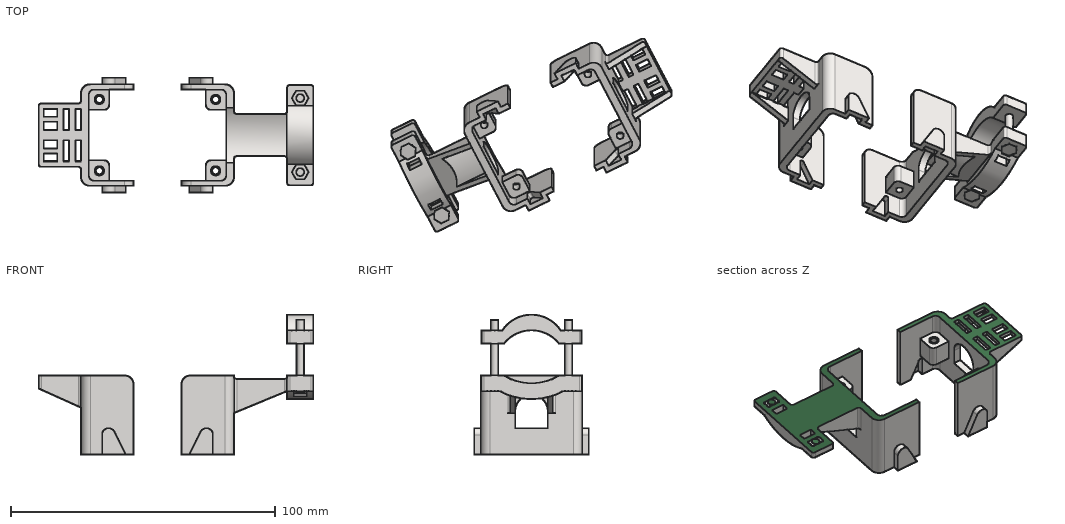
import cadquery as cq
import math

SHELL_MOUTH_X = 9.0
SHELL_BACK_X = 29.0
SHELL_HALF_WIDTH = 19.25
SHELL_HEIGHT = 30.0
SIDE_WALL = 2.0
BACK_WALL = 3.0
SHELL_OUTER_RADIUS = 3.5
SHELL_INNER_RADIUS = 2.0
MOUTH_TOP_RADIUS = 3.5

WINDOW_WIDTH = 12.2
WINDOW_SILL_Z = 10.0
WINDOW_TOP_Z = 22.6

POST_SIZE = 7.75
POST_BOTTOM_Z = 10.0
POST_TOP_Z = 18.5
POST_RADIUS = 2.0
POST_HOLE_X = 22.0
POST_HOLE_Y = 13.5
POST_HOLE_DIAMETER = 2.6
POST_COUNTERBORE_DIAMETER = 3.6
POST_COUNTERBORE_DEPTH = 0.25

LUG_THICKNESS = 2.5
LUG_RADIUS = 2.5
LUG_CENTER_X = 18.5
LUG_CENTER_Z = 7.5
LUG_TOE_X = 12.0
LUG_HOLLOW_INSET = 1.75
LUG_HOLLOW_DEPTH = 2.5

PLATE_END_X = 45.0
PLATE_HALF_WIDTH = 12.0
PLATE_THICKNESS = 5.0
PLATE_RIB = 2.3
PLATE_RIB_ROOT_Z = 17.8
EDGE_RADIUS = 1.0
PLATE_SLOT_NEAR_Y = 2.0
PLATE_SLOT_LENGTH = 8.0
PLATE_SLOT_WIDTH = 2.0
PLATE_SLOT_XS = (30.0, 34.5)
PLATE_WINDOW_X = 40.5
PLATE_WINDOW_SIZE = (5.0, 3.0)
PLATE_WINDOW_YS = (3.5, 8.5)

CLAMP_START_X = 49.0
CLAMP_LENGTH = 10.0
CLAMP_HALF_WIDTH = 19.0
CLAMP_EAR_BOTTOM_Z = 24.0
SADDLE_HALF_CHORD = 10.4
SADDLE_DEPTH = 3.0
SADDLE_THICKNESS = 6.0
NECK_HALF_WIDTH = 8.0
NECK_RIB = 1.9
NECK_ROOT_Z = 15.75
TIE_SLOT_LENGTH = 5.0
TIE_SLOT_NEAR_Y = 7.6
TIE_SLOT_WIDTH = 2.5

STRAP_BOTTOM_Z = 42.0
STRAP_EAR_HEIGHT = 5.0
STRAP_INNER_HALF_CHORD = 10.4
STRAP_OUTER_HALF_CHORD = 11.1
STRAP_CROWN = 6.0

BOLT_Y = 14.0
BOLT_DIAMETER = 3.0
BOLT_TOP_Z = 51.0
BOLT_SLOT_LENGTH = 5.0
HEX_ACROSS_FLATS = 5.5
HEX_HEIGHT = 2.5

CLAMP_CENTER_X = CLAMP_START_X + CLAMP_LENGTH / 2
INNER_BACK_X = SHELL_BACK_X - BACK_WALL
INNER_HALF_WIDTH = SHELL_HALF_WIDTH - SIDE_WALL
STRAP_EAR_TOP_Z = STRAP_BOTTOM_Z + STRAP_EAR_HEIGHT
SADDLE_RADIUS = (SADDLE_HALF_CHORD**2 + SADDLE_DEPTH**2) / (2 * SADDLE_DEPTH)
SADDLE_AXIS_Z = SHELL_HEIGHT - SADDLE_DEPTH + SADDLE_RADIUS
SADDLE_OUTER_RADIUS = SADDLE_RADIUS + SADDLE_THICKNESS
HEX_ACROSS_CORNERS = HEX_ACROSS_FLATS / math.cos(math.radians(30))
SIDES = (-1, 1)


def block(x0, x1, y0, y1, z0, z1):
    """Box between two corners."""
    size_x, size_y, size_z = x1 - x0, y1 - y0, z1 - z0
    return cq.Workplane("XY").box(size_x, size_y, size_z, centered=False).translate((x0, y0, z0))


def cylinder_along_x(radius, axis_z, x0, x1):
    """Cylinder along X, with its axis at y = 0."""
    return cq.Workplane("YZ", origin=(x0, 0, axis_z)).circle(radius).extrude(x1 - x0)


def hex_prism(y, z0):
    """Hexagon the size of a bolt head, with two corners pointing along X."""
    plane = cq.Workplane("XY", origin=(CLAMP_CENTER_X, y, z0))
    return plane.polygon(6, HEX_ACROSS_CORNERS).extrude(HEX_HEIGHT)


def bolt_shank(y, z0, z1):
    """Round shank of a bolt."""
    plane = cq.Workplane("XY", origin=(CLAMP_CENTER_X, y, z0))
    return plane.circle(BOLT_DIAMETER / 2).extrude(z1 - z0)


def u_wall():
    """Back wall and two side walls, rounded at the upright corners and at the top of the mouth."""
    outer = block(SHELL_MOUTH_X, SHELL_BACK_X, -SHELL_HALF_WIDTH, SHELL_HALF_WIDTH, 0, SHELL_HEIGHT)
    outer = outer.edges("|Z and >X").fillet(SHELL_OUTER_RADIUS)
    outer = outer.edges("|Y and <X and >Z").fillet(MOUTH_TOP_RADIUS)
    inner = block(0, INNER_BACK_X, -INNER_HALF_WIDTH, INNER_HALF_WIDTH, 0, SHELL_HEIGHT)
    inner = inner.edges("|Z and >X").fillet(SHELL_INNER_RADIUS)
    return outer.cut(inner)


def window():
    """Arched opening through the back wall."""
    half_width = WINDOW_WIDTH / 2
    spring_z = WINDOW_TOP_Z - half_width
    return (
        cq.Workplane("YZ", origin=(INNER_BACK_X, 0, 0))
        .moveTo(-half_width, WINDOW_SILL_Z)
        .lineTo(half_width, WINDOW_SILL_Z)
        .lineTo(half_width, spring_z)
        .threePointArc((0, WINDOW_TOP_Z), (-half_width, spring_z))
        .close()
        .extrude(BACK_WALL)
    )


def post(side):
    """Screw post filling one inner corner, with a shallowly counterbored hole through it."""
    start_x = INNER_BACK_X - POST_SIZE
    start_y = INNER_HALF_WIDTH - POST_SIZE
    body = block(start_x, INNER_BACK_X, start_y, INNER_HALF_WIDTH, POST_BOTTOM_Z, POST_TOP_Z)
    body = body.edges("|Z and <X and <Y").fillet(POST_RADIUS)

    corner = block(
        INNER_BACK_X - SHELL_INNER_RADIUS,
        INNER_BACK_X + BACK_WALL / 2,
        INNER_HALF_WIDTH - SHELL_INNER_RADIUS,
        INNER_HALF_WIDTH + SIDE_WALL / 2,
        POST_BOTTOM_Z,
        POST_TOP_Z,
    )
    body = body.union(corner)
    body = (
        body.faces(">Z")
        .workplane(origin=(POST_HOLE_X, POST_HOLE_Y, POST_TOP_Z))
        .cboreHole(POST_HOLE_DIAMETER, POST_COUNTERBORE_DIAMETER, POST_COUNTERBORE_DEPTH)
    )
    return body if side > 0 else body.mirror("XZ")


def lug_prism(inset, y0, y1):
    """Lug outline, moved inward by inset: upright back, round top, slope tangent to the round."""
    radius = LUG_RADIUS - inset
    toe_dx = LUG_TOE_X - LUG_CENTER_X
    toe_distance = math.hypot(toe_dx, LUG_CENTER_Z)
    normal_angle = math.atan2(-LUG_CENTER_Z, toe_dx) - math.acos(LUG_RADIUS / toe_distance)
    normal_x, normal_z = math.cos(normal_angle), math.sin(normal_angle)
    tangent = (LUG_CENTER_X + radius * normal_x, LUG_CENTER_Z + radius * normal_z)
    toe_x = LUG_TOE_X - inset / normal_x
    profile = (
        cq.Workplane("XZ", origin=(0, y0, 0))
        .moveTo(toe_x, 0)
        .lineTo(*tangent)
        .threePointArc((LUG_CENTER_X, LUG_CENTER_Z + radius), (LUG_CENTER_X + radius, LUG_CENTER_Z))
        .lineTo(LUG_CENTER_X + radius, 0)
        .close()
    )
    return profile.extrude(-(y1 - y0))


def shell():
    """Shell that opens toward -X."""
    body = u_wall().cut(window())
    lug = lug_prism(0, SHELL_HALF_WIDTH, SHELL_HALF_WIDTH + LUG_THICKNESS)
    hollow_end_y = INNER_HALF_WIDTH + LUG_HOLLOW_DEPTH
    lug_hollow = lug_prism(LUG_HOLLOW_INSET, INNER_HALF_WIDTH, hollow_end_y)
    body = body.union(lug).union(lug.mirror("XZ"))
    body = body.cut(lug_hollow).cut(lug_hollow.mirror("XZ"))
    for side in SIDES:
        body = body.union(post(side))
    return body


def root_fillet(x, y, x_direction, y_direction):
    """Upright concave fillet in the corner at (x, y), as tall as the shell."""
    far_x = x + x_direction * EDGE_RADIUS
    far_y = y + y_direction * EDGE_RADIUS
    corner = block(min(x, far_x), max(x, far_x), min(y, far_y), max(y, far_y), 0, SHELL_HEIGHT)
    round_bar = cq.Workplane("XY", origin=(far_x, far_y, 0)).circle(EDGE_RADIUS).extrude(SHELL_HEIGHT)
    return corner.cut(round_bar)


def tapered_arm(plan, end_x, tip_z, root_z):
    """Part of an upright plan above a slope that rises from the shell to the arm's tip."""
    wedge = (
        cq.Workplane("XZ", origin=(0, SHELL_HALF_WIDTH, 0))
        .moveTo(SHELL_BACK_X, SHELL_HEIGHT)
        .lineTo(end_x, SHELL_HEIGHT)
        .lineTo(end_x, tip_z)
        .lineTo(SHELL_BACK_X, root_z)
        .close()
        .extrude(2 * SHELL_HALF_WIDTH)
    )
    return plan.intersect(wedge)


def plate_arm():
    """Plate with two side ribs that deepen toward the shell, built on the +X side."""
    plate_bottom_z = SHELL_HEIGHT - PLATE_THICKNESS
    plan = block(SHELL_BACK_X, PLATE_END_X, -PLATE_HALF_WIDTH, PLATE_HALF_WIDTH, 0, SHELL_HEIGHT)
    plan = plan.edges("|Z and >X").fillet(EDGE_RADIUS)
    for side in SIDES:
        plan = plan.union(root_fillet(SHELL_BACK_X, side * PLATE_HALF_WIDTH, 1, side))
    arm = tapered_arm(plan, PLATE_END_X, plate_bottom_z, PLATE_RIB_ROOT_Z)
    rib_inner_y = PLATE_HALF_WIDTH - PLATE_RIB
    return arm.cut(block(SHELL_BACK_X, PLATE_END_X, -rib_inner_y, rib_inner_y, 0, plate_bottom_z))


def plate_openings():
    """Two rows of rectangular openings through the plate."""
    openings = cq.Workplane("XY", origin=(0, 0, SHELL_HEIGHT))
    slot_y = PLATE_SLOT_NEAR_Y + PLATE_SLOT_LENGTH / 2
    slots = [(x, side * slot_y) for x in PLATE_SLOT_XS for side in SIDES]
    windows = [(PLATE_WINDOW_X, side * y) for y in PLATE_WINDOW_YS for side in SIDES]
    cutter = openings.pushPoints(slots).rect(PLATE_SLOT_WIDTH, PLATE_SLOT_LENGTH).extrude(-PLATE_THICKNESS)
    return cutter.union(openings.pushPoints(windows).rect(*PLATE_WINDOW_SIZE).extrude(-PLATE_THICKNESS))


def left_bracket():
    """Shell with the slotted plate, mirrored so that it opens toward +X."""
    return shell().union(plate_arm()).cut(plate_openings()).mirror("YZ")


def neck():
    """Tapered arm: a curved shell between two side ribs, joining the wall to the clamp."""
    end_x = CLAMP_START_X
    plan = block(SHELL_BACK_X, end_x, -NECK_HALF_WIDTH, NECK_HALF_WIDTH, 0, SHELL_HEIGHT)
    for side in SIDES:
        y = side * NECK_HALF_WIDTH
        plan = plan.union(root_fillet(SHELL_BACK_X, y, 1, side))
        plan = plan.union(root_fillet(end_x, y, -1, side))
    rib_inner_y = NECK_HALF_WIDTH - NECK_RIB
    below = block(SHELL_BACK_X, end_x, -rib_inner_y, rib_inner_y, 0, SHELL_HEIGHT)
    below = below.cut(cylinder_along_x(SADDLE_OUTER_RADIUS, SADDLE_AXIS_Z, SHELL_BACK_X, end_x))
    return tapered_arm(plan, end_x, CLAMP_EAR_BOTTOM_Z, NECK_ROOT_Z).cut(below)


def clamp_base():
    """Lower clamp half: two flat ears and a curved saddle, with tie slots and bolt openings."""
    end_x = CLAMP_START_X + CLAMP_LENGTH
    ears = block(
        CLAMP_START_X, end_x, -CLAMP_HALF_WIDTH, CLAMP_HALF_WIDTH, CLAMP_EAR_BOTTOM_Z, SHELL_HEIGHT
    )
    ears = ears.edges("|Z").fillet(EDGE_RADIUS)
    belly = cylinder_along_x(SADDLE_OUTER_RADIUS, SADDLE_AXIS_Z, CLAMP_START_X, end_x)
    belly = belly.intersect(
        block(CLAMP_START_X, end_x, -CLAMP_HALF_WIDTH, CLAMP_HALF_WIDTH, 0, CLAMP_EAR_BOTTOM_Z)
    )
    return ears.union(belly)


def clamp_openings(side):
    """Tie slot, bolt slot and bolt head recess on one side of the clamp base."""
    tie_y = side * (TIE_SLOT_NEAR_Y + TIE_SLOT_WIDTH / 2)
    slots = cq.Workplane("XY", origin=(CLAMP_CENTER_X, 0, 0))
    tie_slot = slots.center(0, tie_y).rect(TIE_SLOT_LENGTH, TIE_SLOT_WIDTH).extrude(SHELL_HEIGHT)
    bolt_slot = (
        cq.Workplane("XY", origin=(CLAMP_CENTER_X, side * BOLT_Y, CLAMP_EAR_BOTTOM_Z))
        .rect(BOLT_SLOT_LENGTH, BOLT_DIAMETER)
        .extrude(SHELL_HEIGHT - CLAMP_EAR_BOTTOM_Z)
    )
    head_recess = hex_prism(side * BOLT_Y, CLAMP_EAR_BOTTOM_Z)
    recess_mouth = hex_prism(side * BOLT_Y, CLAMP_EAR_BOTTOM_Z - HEX_HEIGHT)
    return tie_slot.union(bolt_slot).union(head_recess).union(recess_mouth)


def right_bracket():
    """Shell with the neck and clamp base, grooved from end to end for the tube."""
    body = shell().union(neck()).union(clamp_base())
    body = body.cut(
        cylinder_along_x(SADDLE_RADIUS, SADDLE_AXIS_Z, INNER_BACK_X, CLAMP_START_X + CLAMP_LENGTH)
    )
    for side in SIDES:
        body = body.cut(clamp_openings(side))
    return body


def strap():
    """Arched upper clamp half with two ears, a bolt hole and a nut recess in each ear."""
    body = (
        cq.Workplane("YZ", origin=(CLAMP_START_X, 0, 0))
        .moveTo(-CLAMP_HALF_WIDTH, STRAP_BOTTOM_Z)
        .lineTo(-STRAP_INNER_HALF_CHORD, STRAP_BOTTOM_Z)
        .threePointArc((0, STRAP_EAR_TOP_Z), (STRAP_INNER_HALF_CHORD, STRAP_BOTTOM_Z))
        .lineTo(CLAMP_HALF_WIDTH, STRAP_BOTTOM_Z)
        .lineTo(CLAMP_HALF_WIDTH, STRAP_EAR_TOP_Z)
        .lineTo(STRAP_OUTER_HALF_CHORD, STRAP_EAR_TOP_Z)
        .threePointArc((0, STRAP_EAR_TOP_Z + STRAP_CROWN), (-STRAP_OUTER_HALF_CHORD, STRAP_EAR_TOP_Z))
        .lineTo(-CLAMP_HALF_WIDTH, STRAP_EAR_TOP_Z)
        .close()
        .extrude(CLAMP_LENGTH)
    )
    body = body.edges("|Z").edges("<Y or >Y").fillet(EDGE_RADIUS)
    for side in SIDES:
        y = side * BOLT_Y
        body = body.cut(bolt_shank(y, STRAP_BOTTOM_Z, STRAP_EAR_TOP_Z))
        body = body.cut(hex_prism(y, STRAP_EAR_TOP_Z - HEX_HEIGHT))
    return body


def bolt(side):
    """Hex head flush with the ear underside, and a shank through the ear and the strap."""
    y = side * BOLT_Y
    return hex_prism(y, CLAMP_EAR_BOTTOM_Z).union(bolt_shank(y, CLAMP_EAR_BOTTOM_Z, BOLT_TOP_Z))


def nut(side):
    """Hex nut flush with the top of the strap ear."""
    y = side * BOLT_Y
    nut_bottom_z = STRAP_EAR_TOP_Z - HEX_HEIGHT
    return hex_prism(y, nut_bottom_z).cut(bolt_shank(y, nut_bottom_z, STRAP_EAR_TOP_Z))


FIXED_NUT_SIDE = 1
LOOSE_NUT_SIDE = -1
bolt_with_fixed_nut = bolt(FIXED_NUT_SIDE).union(nut(FIXED_NUT_SIDE))
plain_bolt = bolt(LOOSE_NUT_SIDE)
loose_nut = nut(LOOSE_NUT_SIDE)

result = cq.Compound.makeCompound(
    [
        left_bracket().val(),
        right_bracket().val(),
        strap().val(),
        bolt_with_fixed_nut.val(),
        plain_bolt.val(),
        loose_nut.val(),
    ]
)